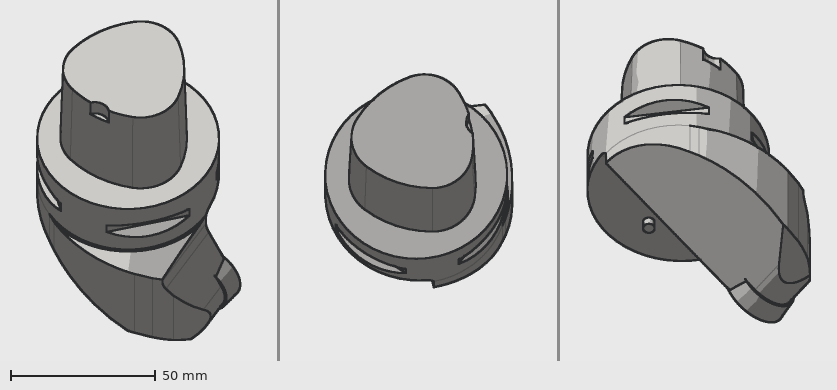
import cadquery as cq
import math


shank_height = 38.0
lobe_reach = 23.5
flat_reach = 20.4
lobe_radius = 14.7
shank_taper = 1.4

notch_radius = 5.0
notch_inner_y = -17.7
notch_depth = 6.2

flange_radius = 31.5
flange_height = 22.5
slot_count = 4
slot_center_z = -12.0
slot_floor_distance = 27.8
slot_floor_height = 3.5
slot_side_angle = 30.0

rear_face_y = -0.3
relief_rear_z = -18.0
relief_front_z = -20.6
relief_fillet = 3.1

pin_diameter = 4.0
pin_y = 17.1
pin_bottom_z = -22.8

insert_radius = 12.5
insert_thickness = 7.7
insert_clearance = 7.0
nose_x = 32.6
nose_z = -52.5

nose_radius = 10.7
head_angle = 30.0
head_wall_x = 31.5
head_wall_fillet = 8.2
head_start_x = -15.4
head_front_start = (-12.7, -29.1)
head_front_middle = (6.2, -34.8)
head_front_end = (22.3, -33.5)
head_corner_start = (28.3, -31.6)
head_corner_middle = (31.7, -30.1)
head_corner_end = (34.8, -28.2)
head_side_middle = (39.0, -23.9)
head_side_end_y = -17.3
head_depth = 41.2

cone_start_radius = 31.9
cone_start_z = -23.1
cone_angle = 14.0
cone_end_radius = 51.5

bevel_start_y = -17.5
bevel_angle = 19.0


def polar(distance, degrees):
    angle = math.radians(degrees)
    return cq.Vector(distance * math.cos(angle), distance * math.sin(angle))


def make_shank():
    """Lobe and flat arcs that meet tangentially, drawn in with height."""
    lobe_offset = lobe_reach - lobe_radius
    flat_radius = (
        lobe_radius**2 - lobe_offset**2 + lobe_offset * flat_reach - flat_reach**2
    ) / (lobe_offset - 2 * flat_reach + 2 * lobe_radius)

    def joint(flat_direction, lobe_direction):
        flat_center = polar(flat_reach - flat_radius, flat_direction)
        lobe_center = polar(lobe_offset, lobe_direction)
        return flat_center + (lobe_center - flat_center).normalized() * flat_radius

    outline = cq.Workplane("XY").moveTo(*joint(-90, -150).toTuple()[:2])
    for flat_direction in (-90, 30, 150):
        lobe_direction = flat_direction + 60
        flat_middle = polar(flat_reach, flat_direction)
        flat_end = joint(flat_direction, lobe_direction)
        lobe_tip = polar(lobe_reach, lobe_direction)
        lobe_end = joint(flat_direction + 120, lobe_direction)
        outline = outline.threePointArc(flat_middle.toTuple()[:2], flat_end.toTuple()[:2])
        outline = outline.threePointArc(lobe_tip.toTuple()[:2], lobe_end.toTuple()[:2])
    shank = outline.close().extrude(shank_height, taper=shank_taper)
    notch = (
        cq.Workplane("XY", origin=(0, notch_inner_y - notch_radius, shank_height - notch_depth))
        .circle(notch_radius)
        .extrude(notch_depth)
    )
    return shank.cut(notch)


def make_flange():
    flange = cq.Workplane("XY").circle(flange_radius).extrude(-flange_height)
    slot_depth = flange_radius - slot_floor_distance
    half_floor = slot_floor_height / 2
    half_mouth = half_floor + slot_depth * math.tan(math.radians(slot_side_angle))
    slot = (
        cq.Workplane("XZ")
        .polyline([
            (slot_floor_distance, slot_center_z - half_floor),
            (flange_radius, slot_center_z - half_mouth),
            (flange_radius, slot_center_z + half_mouth),
            (slot_floor_distance, slot_center_z + half_floor),
        ])
        .close()
        .extrude(flange_radius, both=True)
    )
    slot_pitch = 360 / slot_count
    for index in range(slot_count):
        turn = (index + 0.5) * slot_pitch
        flange = flange.cut(slot.rotate((0, 0, 0), (0, 0, 1), turn))
    return flange


def head_side_profile():
    """Solid along Y: flat top, outer wall, nose arc and slanted lower face."""
    sine = math.sin(math.radians(head_angle))
    cosine = math.cos(math.radians(head_angle))
    wall_bottom_z = nose_z + (nose_radius - (head_wall_x - nose_x) * cosine) / sine
    left_bottom_z = nose_z - (nose_radius - (nose_x + flange_radius) * sine) / cosine
    outer_tangent = (nose_x + nose_radius * cosine, nose_z + nose_radius * sine)
    lower_tangent = (nose_x - nose_radius * sine, nose_z - nose_radius * cosine)
    nose_middle = polar(nose_radius, -45) + cq.Vector(nose_x, nose_z)
    return (
        cq.Workplane("XZ")
        .moveTo(-flange_radius, left_bottom_z)
        .lineTo(-flange_radius, -flange_height)
        .lineTo(head_wall_x, -flange_height)
        .lineTo(head_wall_x, wall_bottom_z)
        .lineTo(*outer_tangent)
        .threePointArc(nose_middle.toTuple()[:2], lower_tangent)
        .close()
        .extrude(head_depth)
        .edges(cq.selectors.NearestToPointSelector((head_wall_x, -head_depth / 2, wall_bottom_z)))
        .fillet(head_wall_fillet)
    )


def head_plan(height):
    """Plan outline of the head, in front of the cutting plane."""
    start_y = -math.sqrt(flange_radius**2 - head_start_x**2)
    arc_middle = polar(flange_radius, 210)
    return (
        cq.Workplane("XY")
        .moveTo(-flange_radius, 0)
        .threePointArc(arc_middle.toTuple()[:2], (head_start_x, start_y))
        .lineTo(*head_front_start)
        .threePointArc(head_front_middle, head_front_end)
        .lineTo(*head_corner_start)
        .threePointArc(head_corner_middle, head_corner_end)
        .threePointArc(head_side_middle, (nose_x + nose_radius, head_side_end_y))
        .lineTo(nose_x + nose_radius, 0)
        .close()
        .extrude(-height)
    )


def make_bevel_cut():
    nose_bottom_z = nose_z - nose_radius
    rise = (head_depth + bevel_start_y) * math.tan(math.radians(bevel_angle))
    return (
        cq.Workplane("YZ")
        .polyline([
            (bevel_start_y, nose_bottom_z),
            (-head_depth, nose_bottom_z + rise),
            (-head_depth, nose_bottom_z),
        ])
        .close()
        .extrude(nose_x + nose_radius)
    )


def make_head_envelope():
    """Space below the flange, the chamfer and the conical top."""
    cone_end_z = cone_start_z - (cone_end_radius - cone_start_radius) * math.tan(math.radians(cone_angle))
    bottom_z = nose_z - nose_radius
    return (
        cq.Workplane("XZ")
        .polyline([
            (0, -flange_height),
            (flange_radius, -flange_height),
            (cone_start_radius, cone_start_z),
            (cone_end_radius, cone_end_z),
            (cone_end_radius, bottom_z),
            (0, bottom_z),
        ])
        .close()
        .revolve(360, (0, 0, 0), (0, 1, 0))
    )


def make_head():
    head = head_side_profile().intersect(head_plan(nose_radius - nose_z))
    return head.intersect(make_head_envelope()).cut(make_bevel_cut())


def make_rear_relief():
    """Space behind the cutting plane, with a rounded inner corner."""
    slope = (relief_rear_z - relief_front_z) / flange_radius
    corner_z = relief_front_z + slope * rear_face_y
    floor_z = nose_z - insert_radius
    return (
        cq.Workplane("YZ")
        .polyline([
            (rear_face_y, floor_z),
            (rear_face_y, corner_z),
            (head_depth, relief_front_z + slope * head_depth),
            (head_depth, floor_z),
        ])
        .close()
        .extrude(nose_x + nose_radius, both=True)
        .edges(cq.selectors.NearestToPointSelector((0, rear_face_y, corner_z)))
        .fillet(relief_fillet)
    )


def make_coolant_pin():
    return (
        cq.Workplane("XY", origin=(0, pin_y, pin_bottom_z))
        .circle(pin_diameter / 2)
        .extrude(slot_center_z - pin_bottom_z)
    )


def make_insert():
    return (
        cq.Workplane("XZ", origin=(nose_x, 0, nose_z))
        .circle(insert_radius)
        .extrude(insert_thickness, taper=insert_clearance)
    )


insert = make_insert()
holder = (
    make_flange()
    .union(make_head())
    .cut(make_rear_relief())
    .union(make_shank())
    .union(make_coolant_pin())
    .cut(insert)
)

result = cq.Compound.makeCompound([holder.solids().val(), insert.val()])